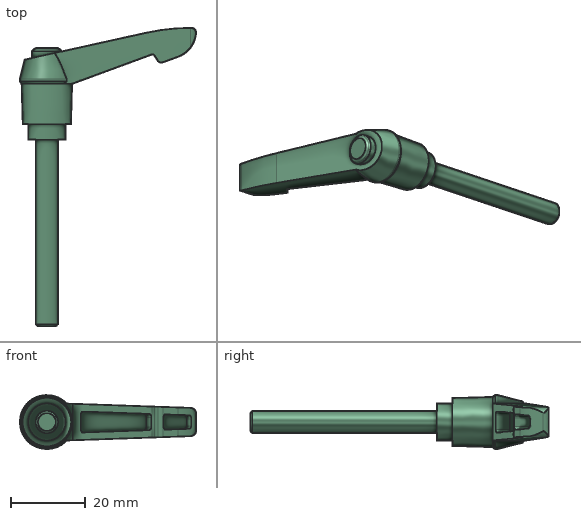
import cadquery as cq
import math


stud_radius = 3.0
stud_length = 50.0
stud_chamfer = 0.6
collar_radius = 5.0
collar_height = 4.2

hub_bottom_radius = 6.5
hub_top_radius = 6.8
hub_top_y = 15.0

band_radius = 7.25
band_bottom_y = 15.6
band_top_y = 16.35
cone_half_angle = math.radians(14.3)

screw_radius = 4.0
screw_top_y = 24.6
screw_crown_radius = 2.9
screw_shoulder_radius = 3.55
screw_shoulder_height = 0.45
screw_crown_height = 0.4

tip_x = 40.01
top_y = 30.0
top_apex_x = 38.6
top_angle = math.radians(12.5)
top_y_at_axis = 22.78
underside_start_x = 6.9
underside_angle = math.radians(20.2)
notch_start_x = 28.55
heel_offset = 3.0
heel_start_x = 30.2
notch_fillet = 0.6
heel_fillet = 1.2
tip_arc_start_x = 35.1
tip_arc_end_y = 28.6
tip_fillet = 1.4

arm_half_width_at_axis = 5.16
arm_half_width_at_tip = 3.77
tip_side_fillet = 1.6

pocket_wall = 2.0
pocket_corner_radius = 0.9
pocket_cutter_length = 7.0
main_pocket_start_x = 9.05
main_pocket_end_x = 28.0
main_pocket_depth = 4.0
tip_pocket_start_x = 31.2
tip_pocket_end_x = 38.8
tip_pocket_end_y = 24.7
tip_pocket_depth = 5.0


def top_line_y(x):
    """Height of the straight part of the arm's top."""
    return top_y_at_axis + x * math.tan(top_angle)


def underside_y(x, offset=0.0):
    """Height of the underside line, moved down square to itself by an offset."""
    slope_rise = (x - underside_start_x) * math.tan(underside_angle)
    return hub_top_y + slope_rise - offset / math.cos(underside_angle)


def arm_half_width(x):
    """Half width of the arm, which narrows evenly towards the tip."""
    return arm_half_width_at_axis + (arm_half_width_at_tip - arm_half_width_at_axis) * x / tip_x


def make_stud_and_hub():
    """Stud, collar and tapered hub as one turned body."""
    outline = (
        cq.Workplane("XY")
        .moveTo(0, -stud_length)
        .lineTo(stud_radius - stud_chamfer, -stud_length)
        .lineTo(stud_radius, -stud_length + stud_chamfer)
        .lineTo(stud_radius, 0)
        .lineTo(collar_radius, 0)
        .lineTo(collar_radius, collar_height)
        .lineTo(hub_bottom_radius, collar_height)
        .lineTo(hub_top_radius, hub_top_y)
        .lineTo(0, hub_top_y)
        .close()
    )
    return outline.revolve(360, (0, 0), (0, 1))


def make_head():
    """Conical lever head, cut off by the slope of the arm's top."""
    cone_top_radius = band_radius - (top_y - band_top_y) * math.tan(cone_half_angle)
    cone = (
        cq.Workplane("XY")
        .moveTo(0, hub_top_y)
        .lineTo(hub_top_radius, hub_top_y)
        .lineTo(band_radius, band_bottom_y)
        .lineTo(band_radius, band_top_y)
        .lineTo(cone_top_radius, top_y)
        .lineTo(0, top_y)
        .close()
        .revolve(360, (0, 0), (0, 1))
    )
    reach = 2 * band_radius
    above_slope = (
        cq.Workplane("XY")
        .moveTo(-reach, top_line_y(-reach))
        .lineTo(reach, top_line_y(reach))
        .lineTo(reach, top_y + reach)
        .lineTo(-reach, top_y + reach)
        .close()
        .extrude(reach, both=True)
    )
    return cone.cut(above_slope)


def make_screw_head():
    """Screw head with a bevelled shoulder and crown, rising from inside the lever head."""
    shoulder_top_y = screw_top_y - screw_crown_height
    shoulder_bottom_y = shoulder_top_y - screw_shoulder_height
    outline = (
        cq.Workplane("XY")
        .moveTo(0, hub_top_y)
        .lineTo(screw_radius, hub_top_y)
        .lineTo(screw_radius, shoulder_bottom_y)
        .lineTo(screw_shoulder_radius, shoulder_top_y)
        .lineTo(screw_crown_radius, screw_top_y)
        .lineTo(0, screw_top_y)
        .close()
    )
    return outline.revolve(360, (0, 0), (0, 1))


def make_arm_profile():
    """Side profile of the arm, extruded across its width."""
    chord_slope = math.tan(top_angle / 2)
    rise_to_top = top_y - top_y_at_axis
    arc_start_x = (rise_to_top - chord_slope * top_apex_x) / (math.tan(top_angle) - chord_slope)
    arc_radius = (top_apex_x - arc_start_x) / math.sin(top_angle)
    arc_end_y = top_y - arc_radius + math.sqrt(arc_radius**2 - (tip_x - top_apex_x) ** 2)

    profile = (
        cq.Workplane("XY")
        .moveTo(0, hub_top_y)
        .lineTo(underside_start_x, hub_top_y)
        .lineTo(notch_start_x, underside_y(notch_start_x))
        .lineTo(heel_start_x, underside_y(heel_start_x, heel_offset))
        .lineTo(tip_arc_start_x, underside_y(tip_arc_start_x, heel_offset))
        .tangentArcPoint((tip_x, tip_arc_end_y), relative=False)
        .lineTo(tip_x, arc_end_y)
        .threePointArc((top_apex_x, top_y), (arc_start_x, top_line_y(arc_start_x)))
        .lineTo(0, top_line_y(0))
        .close()
        .extrude(arm_half_width_at_axis, both=True)
    )
    corners = (
        (notch_start_x, underside_y(notch_start_x), notch_fillet),
        (heel_start_x, underside_y(heel_start_x, heel_offset), heel_fillet),
        (tip_x, arc_end_y, tip_fillet),
    )
    for x, y, radius in corners:
        profile = profile.edges(cq.selectors.NearestToPointSelector((x, y, 0))).fillet(radius)
    return profile


def make_arm():
    """Arm profile trimmed to its tapering width, with rounded corners at the tip."""
    width_outline = (
        cq.Workplane("XZ")
        .moveTo(0, -arm_half_width(0))
        .lineTo(tip_x, -arm_half_width(tip_x))
        .lineTo(tip_x, arm_half_width(tip_x))
        .lineTo(0, arm_half_width(0))
        .close()
        .extrude(-top_y)
        .edges("|Y and >X")
        .fillet(tip_side_fillet)
    )
    return make_arm_profile().intersect(width_outline)


def make_pocket(start, end, floor_depth):
    """Pocket cutter between two rim points, with its floor a given depth above the underside line."""
    underside = cq.Plane(
        origin=(underside_start_x, hub_top_y, 0),
        xDir=(math.cos(underside_angle), math.sin(underside_angle), 0),
        normal=(-math.sin(underside_angle), math.cos(underside_angle), 0),
    )
    start_along = underside.toLocalCoords(cq.Vector(*start, 0)).x
    end_along = underside.toLocalCoords(cq.Vector(*end, 0)).x
    start_half_width = arm_half_width(start[0]) - pocket_wall
    end_half_width = arm_half_width(end[0]) - pocket_wall
    return (
        cq.Workplane(underside)
        .workplane(offset=floor_depth)
        .moveTo(start_along, -start_half_width)
        .lineTo(end_along, -end_half_width)
        .lineTo(end_along, end_half_width)
        .lineTo(start_along, start_half_width)
        .close()
        .extrude(-pocket_cutter_length)
        .edges(cq.selectors.ParallelDirSelector(underside.zDir))
        .fillet(pocket_corner_radius)
    )


main_pocket = make_pocket(
    (main_pocket_start_x, underside_y(main_pocket_start_x)),
    (main_pocket_end_x, underside_y(main_pocket_end_x)),
    main_pocket_depth,
)
tip_pocket = make_pocket(
    (tip_pocket_start_x, underside_y(tip_pocket_start_x, heel_offset)),
    (tip_pocket_end_x, tip_pocket_end_y),
    tip_pocket_depth - heel_offset,
)
arm = make_arm().cut(main_pocket).cut(tip_pocket)
result = make_stud_and_hub().union(make_head()).union(make_screw_head()).union(arm)